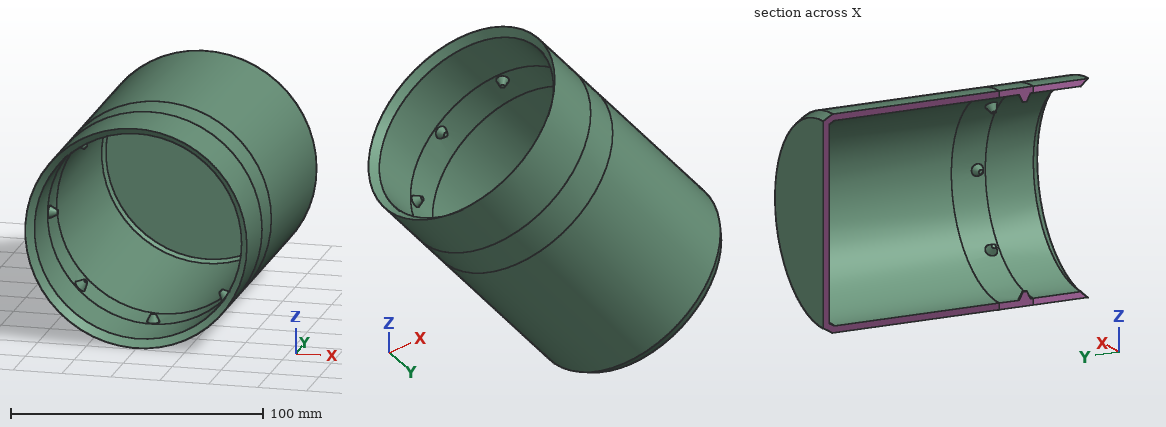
import cadquery as cq
import math

total_length = 117.5
outer_radius = 90.7 / 2
inner_radius = 84.7 / 2
wall = outer_radius - inner_radius
front_y = -total_length / 2
back_y = total_length / 2

skirt_length = 24.5
ring_length = 15.0
ring_front_y = front_y + skirt_length
ring_back_y = ring_front_y + ring_length

mouth_bevel_depth = 3.3

end_bevel_length = 4.2
end_bevel_width = 2.5
bevel_slope = end_bevel_width / end_bevel_length
bevel_radial_wall = wall * math.hypot(1, bevel_slope)
floor_y = back_y - wall
end_radius = outer_radius - end_bevel_width
floor_radius = end_radius + wall * bevel_slope - bevel_radial_wall
inner_bevel_length = (inner_radius - floor_radius) / bevel_slope

stud_count = 8
stud_base_radius = 2.6
stud_tip_radius = 0.9
stud_height = 3.3
stud_embed = wall / 2
stud_y = ring_front_y + 3.5


def revolve_about_y(points):
    """Revolve a closed (radius, y) outline a full turn about the Y axis."""
    return cq.Workplane("XY").polyline(points).close().revolve(360, (0, 0, 0), (0, 1, 0))


def make_skirt():
    """Plain tube with a sharp bevelled mouth."""
    return revolve_about_y([
        (outer_radius, front_y),
        (outer_radius, ring_front_y),
        (inner_radius, ring_front_y),
        (inner_radius, front_y + mouth_bevel_depth),
    ])


def make_stud(angle):
    """Tapered stud rooted in the ring wall, at the given angle about Y."""
    root_radius = inner_radius + stud_embed
    taper = (stud_base_radius - stud_tip_radius) / stud_height
    cone = cq.Solid.makeCone(
        stud_base_radius + taper * stud_embed,
        stud_tip_radius,
        stud_height + stud_embed,
        pnt=cq.Vector(root_radius, stud_y, 0),
        dir=cq.Vector(-1, 0, 0),
    )
    return cone.rotate(cq.Vector(0, 0, 0), cq.Vector(0, 1, 0), angle)


def make_ring():
    """Middle tube section carrying the evenly spaced studs."""
    ring = revolve_about_y([
        (outer_radius, ring_front_y),
        (outer_radius, ring_back_y),
        (inner_radius, ring_back_y),
        (inner_radius, ring_front_y),
    ])
    for index in range(stud_count):
        ring = ring.union(cq.Workplane(make_stud(index * 360 / stud_count)))
    return ring


def make_cup():
    """Closed tube section with a bevelled end of constant wall thickness."""
    return revolve_about_y([
        (inner_radius, ring_back_y),
        (outer_radius, ring_back_y),
        (outer_radius, back_y - end_bevel_length),
        (end_radius, back_y),
        (0, back_y),
        (0, floor_y),
        (floor_radius, floor_y),
        (inner_radius, floor_y - inner_bevel_length),
    ])


skirt = make_skirt()
ring = make_ring()
cup = make_cup()

result = cq.Compound.makeCompound([skirt.val(), ring.val(), cup.val()])